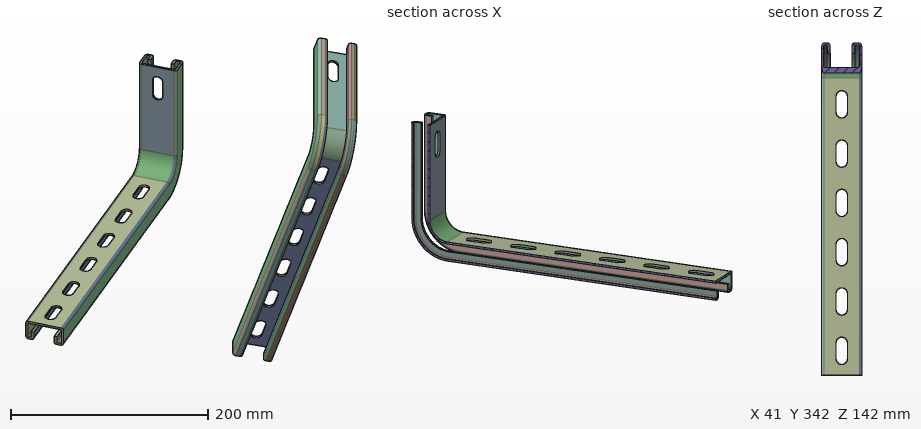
import cadquery as cq

length = 342.0
height = 142.0
bend_outer_radius = 40.7

width = 41.0
depth = 21.0
thickness = 2.5
lip_thickness = 3.0
left_lip_width = 9.0
right_lip_width = 10.3
lip_height = 9.2
web_corner_radius = 2.5
mouth_corner_radius = 3.5
lip_corner_radius = 2.7
inside_corner_radius = 1.0

slot_length = 27.5
slot_width = 11.3
slot_pitch = 50.0
slot_end_distance = 25.0
arm_slot_count = 6

half_width = width / 2
arm_length = length - bend_outer_radius
upright_length = height - bend_outer_radius


def arm_bar(x_min, x_max, z_min, z_max):
    """Rectangular bar along the whole arm, from y = 0."""
    bar = cq.Workplane("XY").box(x_max - x_min, arm_length, z_max - z_min, centered=False)
    return bar.translate((x_min, 0, z_min))


def side_return(lip_width):
    """Mouth flange and lip of the +X side."""
    lip_face = half_width - lip_width
    hook = arm_bar(lip_face, half_width, 0, lip_height)
    hook = hook.edges("|Y and <Z").edges(">X").fillet(mouth_corner_radius)
    hook = hook.edges("<X and <Z and |Y").fillet(lip_corner_radius)
    groove = arm_bar(lip_face + lip_thickness, half_width - thickness, thickness, depth)
    groove = groove.edges("|Y and <Z").fillet(inside_corner_radius)
    return hook.cut(groove)


def make_arm():
    """Horizontal arm: mouth down at z = 0, web on top."""
    shell = arm_bar(-half_width, half_width, 0, depth)
    shell = shell.edges("|Y and >Z").fillet(web_corner_radius)
    shell = shell.edges("|Y and <Z").fillet(mouth_corner_radius)
    inside = half_width - thickness
    cavity = arm_bar(-inside, inside, 0, depth - thickness)
    cavity = cavity.edges("|Y and >Z").fillet(inside_corner_radius)
    channel = shell.cut(cavity)
    left_return = side_return(left_lip_width).mirror("YZ")
    return channel.union(side_return(right_lip_width)).union(left_return)


def make_bend(arm):
    """Quarter turn of the channel section from the arm to the upright."""
    section = arm.faces(">Y").val()
    axis_start = cq.Vector(0, arm_length, bend_outer_radius)
    axis_end = axis_start + cq.Vector(3.5, 0, 0)
    return cq.Workplane(
        cq.Solid.revolve(section.outerWire(), [], 90, axis_start, axis_end)
    )


def make_upright(arm):
    """Vertical leg: the end section of the arm turned up at the end of the bend."""
    axis_start = (0, arm_length, bend_outer_radius)
    axis_end = (1, arm_length, bend_outer_radius)
    trim = cq.Workplane("XY").box(width, upright_length, depth, centered=False)
    trim = trim.translate((-half_width, 0, 0))
    leg = arm.intersect(trim).translate((0, arm_length, 0))
    return leg.rotate(axis_start, axis_end, 90)


def cut_slots(body):
    """Row of slots along the arm and one slot near the top of the upright."""
    arm_centres = [(0, slot_end_distance + i * slot_pitch) for i in range(arm_slot_count)]
    arm_slots = (
        cq.Workplane("XY")
        .pushPoints(arm_centres)
        .slot2D(slot_length, slot_width, 90)
        .extrude(depth)
    )
    upright_slot = (
        cq.Workplane("XZ", origin=(0, length, 0))
        .center(0, height - slot_end_distance)
        .slot2D(slot_length, slot_width, 90)
        .extrude(depth)
    )
    return body.cut(arm_slots).cut(upright_slot)


arm = make_arm()
bracket = arm.union(make_bend(arm)).union(make_upright(arm))
result = cut_slots(bracket)